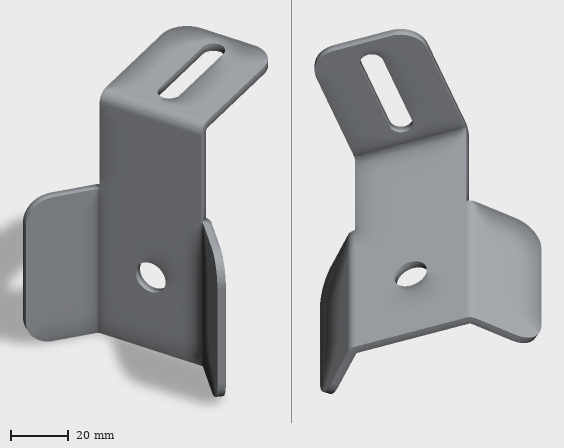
import cadquery as cq
import math

thickness = 3.0
inner_radius = 1.0
outer_radius = inner_radius + thickness

web_width = 41.0
web_height = 100.0
web_hole_diameter = 12.0
corner_radius = 10.0

flange_reach = 53.0
slot_width = 8.3
slot_length = 38.5
slot_edge_gap = 5.7

wing_height = 60.0
wing_reach = 20.0
wing_angle = 48.73

web_hole_height = wing_height / 2
slot_center_y = flange_reach - slot_edge_gap - slot_length / 2
bend_cos = math.cos(math.radians(wing_angle))
bend_sin = math.sin(math.radians(wing_angle))
wing_flat = (wing_reach - inner_radius + inner_radius * bend_cos) / bend_sin


def make_web_and_flange():
    """L-shaped strip with a rounded bend and rounded flange corners."""
    bend_mid = math.sqrt(0.5)
    center_y = outer_radius
    center_z = web_height - outer_radius

    def mid_point(radius):
        return (center_y - radius * bend_mid, center_z + radius * bend_mid)

    strip = (
        cq.Workplane("YZ")
        .moveTo(0, 0)
        .lineTo(0, center_z)
        .threePointArc(mid_point(outer_radius), (center_y, web_height))
        .lineTo(flange_reach, web_height)
        .lineTo(flange_reach, web_height - thickness)
        .lineTo(center_y, web_height - thickness)
        .threePointArc(mid_point(inner_radius), (thickness, center_z))
        .lineTo(thickness, 0)
        .close()
        .extrude(web_width / 2, both=True)
    )
    return strip.edges("|Z and >Y").fillet(corner_radius)


def make_wing():
    """Bent wing on the +X side of the web, with rounded free corners."""
    center_x = web_width / 2
    center_y = -inner_radius
    half_angle = math.radians(wing_angle / 2)

    def mid_point(radius):
        return (center_x + radius * math.sin(half_angle), center_y + radius * math.cos(half_angle))

    def bend_end(radius):
        return (center_x + radius * bend_sin, center_y + radius * bend_cos)

    def tip(radius):
        x, y = bend_end(radius)
        return (x + wing_flat * bend_cos, y - wing_flat * bend_sin)

    wing = (
        cq.Workplane("XY")
        .moveTo(center_x, 0)
        .threePointArc(mid_point(inner_radius), bend_end(inner_radius))
        .lineTo(*tip(inner_radius))
        .lineTo(*tip(outer_radius))
        .lineTo(*bend_end(outer_radius))
        .threePointArc(mid_point(outer_radius), (center_x, thickness))
        .close()
        .extrude(wing_height)
    )
    outward = cq.Vector(bend_cos, -bend_sin, 0)
    free_end = wing.faces(cq.selectors.DirectionMinMaxSelector(outward, True))
    return free_end.edges("#Z").fillet(corner_radius)


def make_web_hole():
    """Round hole through the web, centred on the height of the wings."""
    return (
        cq.Workplane("XZ", origin=(0, thickness, web_hole_height))
        .circle(web_hole_diameter / 2)
        .extrude(thickness)
    )


def make_flange_slot():
    """Slot through the flange, running along Y."""
    return (
        cq.Workplane("XY", origin=(0, slot_center_y, web_height - thickness))
        .slot2D(slot_length, slot_width, 90)
        .extrude(thickness)
    )


right_wing = make_wing()
left_wing = right_wing.mirror("YZ")

result = (
    make_web_and_flange()
    .union(right_wing)
    .union(left_wing)
    .cut(make_web_hole())
    .cut(make_flange_slot())
)